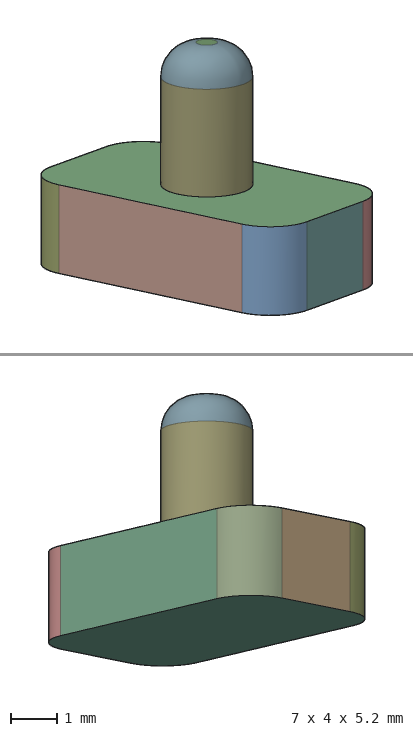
import cadquery as cq

base_length = 7.0
base_width = 4.0
base_height = 2.0
corner_radius = base_width / 4

total_height = 5.2
pin_diameter = 2.0
pin_height = total_height - base_height
tip_radius = 0.77

base = (
    cq.Workplane("XY")
    .rect(base_length, base_width)
    .extrude(base_height)
    .edges("|Z")
    .fillet(corner_radius)
)

pin = (
    cq.Workplane("XY")
    .workplane(offset=base_height)
    .circle(pin_diameter / 2)
    .extrude(pin_height)
    .faces(">Z")
    .edges()
    .fillet(tip_radius)
)

result = base.union(pin)